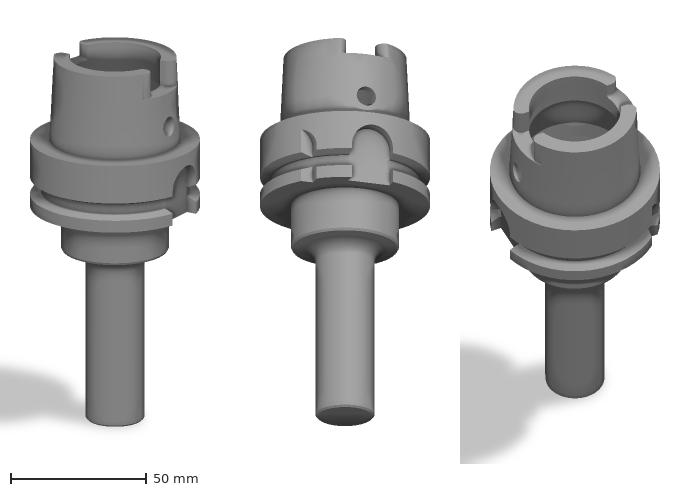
import cadquery as cq
import math

total_length = 140.9

taper_height = 32.0
taper_top_radius = 22.75
taper_base_radius = 24.3

flange_radius = 62.94 / 2
flange_height = 26.0
groove_radius = 27.5
groove_flank_radius = 28.5
groove_center_z = -18.0
groove_floor_half_width = 2.0
groove_mouth_half_width = 3.35

boss_radius = 40.08 / 2
boss_edge_z = -41.8
boss_chamfer_width = 0.5
boss_chamfer_height = 0.9
neck_radius = 15.7
neck_start_z = -43.3
shank_radius = 11.0
shank_start_z = -48.1
shank_collar_height = 2.0
shank_lead_in = 0.1
shank_chamfer_height = 0.7
shank_chamfer_width = 0.7

bore_radius = 34.05 / 2
bore_lip_z = 19.5
undercut_radius = 40.08 / 2
undercut_bottom_z = 5.0
bore_floor_radius = 15.8
bore_floor_z = 2.5

cross_hole_diameter = 7.5
cross_hole_z = 9.15

slot_width = 12.1
slot_corner_radius = 3.1
slot_mouth_x = 20.8
slot_floor_fillet = 1.2
shallow_slot_depth = 6.0
shallow_slot_wrap = 20.0
deep_slot_depth = 9.9
deep_slot_wrap = 48.0

keyway_width = 16.0
keyway_top_z = -4.8
keyway_floor_x = 26.5
notch_floor_x = 20.0
notch_inner_y = 19.8


def make_body():
    """Revolve the outer outline of taper, flange, boss and shank about Z."""
    bottom_z = taper_height - total_length
    groove_top_z = groove_center_z + groove_floor_half_width
    groove_bottom_z = groove_center_z - groove_floor_half_width
    neck_fillet_mid = (
        shank_radius + (neck_radius - shank_radius) * (1 - math.sin(math.pi / 4)),
        shank_start_z + (neck_start_z - shank_start_z) * math.sin(math.pi / 4),
    )
    outline = (
        cq.Workplane("XZ")
        .moveTo(0, taper_height)
        .lineTo(taper_top_radius, taper_height)
        .lineTo(taper_base_radius, 0)
        .lineTo(flange_radius, 0)
        .lineTo(flange_radius, groove_center_z + groove_mouth_half_width)
        .lineTo(groove_flank_radius, groove_top_z)
        .lineTo(groove_radius, groove_top_z)
        .lineTo(groove_radius, groove_bottom_z)
        .lineTo(groove_flank_radius, groove_bottom_z)
        .lineTo(flange_radius, groove_center_z - groove_mouth_half_width)
        .lineTo(flange_radius, -flange_height)
        .lineTo(boss_radius, -flange_height)
        .lineTo(boss_radius, boss_edge_z)
        .lineTo(boss_radius - boss_chamfer_width, boss_edge_z - boss_chamfer_height)
        .lineTo(neck_radius, neck_start_z)
        .threePointArc(neck_fillet_mid, (shank_radius, shank_start_z))
        .lineTo(shank_radius, bottom_z + shank_collar_height)
        .lineTo(shank_radius - shank_lead_in, bottom_z + shank_chamfer_height)
        .lineTo(shank_radius - shank_lead_in - shank_chamfer_width, bottom_z)
        .lineTo(0, bottom_z)
        .close()
    )
    return outline.revolve(360, (0, 0, 0), (0, 1, 0))


def make_bore():
    """Straight bore above a wider undercut, with a conical shoulder down to a flat floor."""
    outline = (
        cq.Workplane("XZ")
        .moveTo(0, taper_height)
        .lineTo(bore_radius, taper_height)
        .lineTo(bore_radius, bore_lip_z)
        .lineTo(undercut_radius, bore_lip_z)
        .lineTo(undercut_radius, undercut_bottom_z)
        .lineTo(bore_floor_radius, bore_floor_z)
        .lineTo(0, bore_floor_z)
        .close()
    )
    return outline.revolve(360, (0, 0, 0), (0, 1, 0))


def make_cross_hole():
    """Radial hole through both walls of the taper."""
    return (
        cq.Workplane("YZ")
        .center(0, cross_hole_z)
        .circle(cross_hole_diameter / 2)
        .extrude(taper_base_radius, both=True)
    )


def make_drive_slot(side, depth, wrap):
    """Slot through the rim, widening outwards along a round on each wall.

    The side is +1 or -1 along X; each round carries on past the mouth by the wrap angle in degrees.
    """
    half = slot_width / 2
    round_x = slot_mouth_x - slot_corner_radius
    round_y = half + slot_corner_radius
    outer_x = taper_base_radius
    wrap_angle = math.radians(wrap)
    end_x = round_x + slot_corner_radius * math.cos(wrap_angle)
    end_y = round_y + slot_corner_radius * math.sin(wrap_angle)
    outer_y = math.sqrt(outer_x**2 - end_x**2)
    return (
        cq.Workplane("XY", origin=(0, 0, taper_height - depth))
        .moveTo(0, -half)
        .lineTo(side * round_x, -half)
        .threePointArc((side * slot_mouth_x, -round_y), (side * end_x, -end_y))
        .lineTo(side * end_x, -outer_y)
        .threePointArc((side * outer_x, 0), (side * end_x, outer_y))
        .lineTo(side * end_x, end_y)
        .threePointArc((side * slot_mouth_x, round_y), (side * round_x, half))
        .lineTo(0, half)
        .close()
        .extrude(depth)
    )


def round_slot_floor(slot):
    """Fillet the floor edges of a drive slot cutter, leaving its inner and outer ends sharp."""
    return slot.edges("<Z").edges("not (<X or >X)").fillet(slot_floor_fillet)


def make_keyway(side, floor_x, center_y):
    """Round-topped slot running out of the flange's lower face, with a flat floor square to X."""
    radius = keyway_width / 2
    arc_z = keyway_top_z - radius
    profile = (
        cq.Workplane("YZ", origin=(side * floor_x, 0, 0))
        .moveTo(center_y - radius, -flange_height)
        .lineTo(center_y - radius, arc_z)
        .threePointArc((center_y, keyway_top_z), (center_y + radius, arc_z))
        .lineTo(center_y + radius, -flange_height)
        .close()
    )
    return profile.extrude(side * flange_radius)


shallow_slot = round_slot_floor(make_drive_slot(-1, shallow_slot_depth, shallow_slot_wrap))
deep_slot = make_drive_slot(1, deep_slot_depth, deep_slot_wrap)
notch_center_y = notch_inner_y + keyway_width / 2

cutters = [
    make_bore(),
    make_cross_hole(),
    shallow_slot,
    deep_slot,
    make_keyway(-1, keyway_floor_x, 0),
    make_keyway(1, keyway_floor_x, 0),
    make_keyway(-1, notch_floor_x, notch_center_y),
]

result = make_body()
for cutter in cutters:
    result = result.cut(cutter)